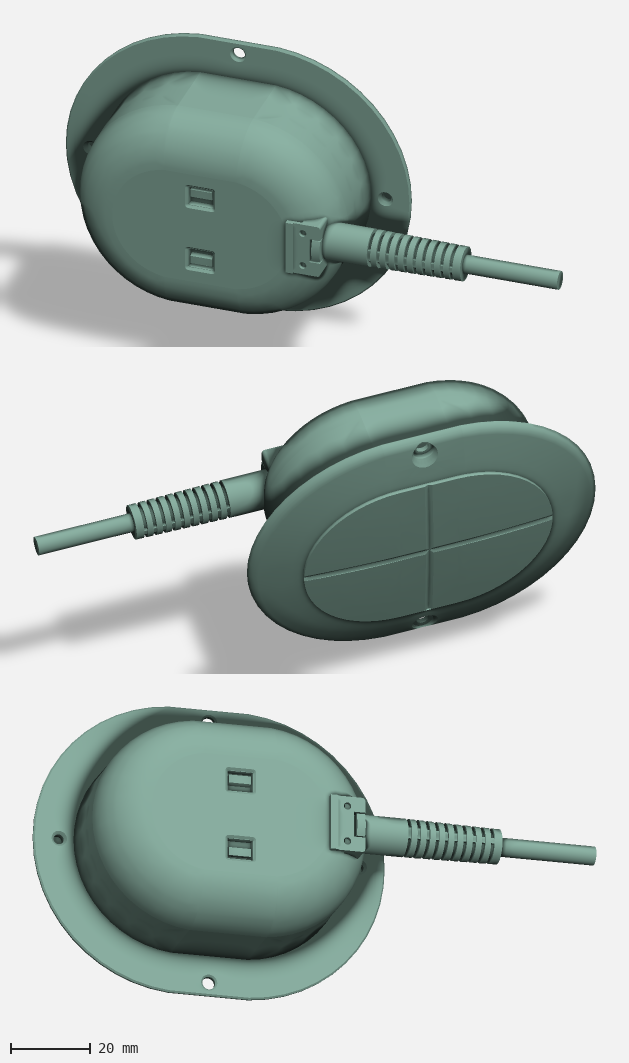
import cadquery as cq
import math


BODY_HALF_LENGTH = 35.25
BODY_HALF_WIDTH = 27.5
STRAIGHT_HALF = 10.0
SAGITTA = BODY_HALF_LENGTH - STRAIGHT_HALF
END_RADIUS = (BODY_HALF_WIDTH ** 2 + SAGITTA ** 2) / (2 * SAGITTA)
END_CENTER = BODY_HALF_LENGTH - END_RADIUS

BODY_DEPTH = 29.25
BODY_FILLET = 12.0
WALL_DRAFT = 0.05

FLANGE_OVERHANG = 10.5
FLANGE_EDGE_CHAMFER = 0.4
SHOULDER_INSET = 2.0
SHOULDER_Y = 2.95
FLANGE_CROWN = 0.15

CAP_INSET = 2.6
CAP_BASE_Y = 5.7
CAP_RIM_Y = 6.65
CAP_TOP_Y = 7.65
CAP_GROOVE_WIDTH = 2.0
CAP_GROOVE_DEPTH = 0.4

SIDE_HOLE_Z = 34.55
END_HOLE_X = 39.0
SIDE_HOLE_DIAMETER = 3.3
SIDE_HOLE_MOUTH = 4.2
END_HOLE_DIAMETER = 2.6
END_HOLE_MOUTH = 4.0
END_HOLE_DEPTH = 2.5
HEAD_RECESS_DIAMETER = 5.6
HEAD_RECESS_FLOOR_Y = 1.6
COUNTERSINK_START_Y = 2.9

WINDOW_Z = 9.0
WINDOW_LENGTH = 8.0
WINDOW_WIDTH = 6.7
WINDOW_CORNER = 0.9
WINDOW_RIM = 0.6
WINDOW_RIM_ANGLE = 45
WINDOW_DEPTH = 2.0
WINDOW_DRAFT_ANGLE = 10
TAB_DROP = 0.8
TAB_LENGTH = 5.7
TAB_OUTER_Z = 1.7
TAB_INNER_Z = -0.4
TAB_SLOPE = 0.45

CABLE_Y = -23.65
CABLE_DIAMETER = 4.8
CABLE_END_X = 93.4
SLEEVE_START_X = 31.0
COLLAR_END_X = 43.85
SLEEVE_END_X = 68.4
COLLAR_DIAMETER = 9.7
SLEEVE_TIP_DIAMETER = 8.9
GROOVE_COUNT = 10
GROOVE_PITCH = 2.4
GROOVE_WIDTH = 0.9
GROOVE_CORE_DIAMETER = 6.7
RIB_HALF_HEIGHT = 4.1
RIB_WIDTH_START = 2.9
RIB_WIDTH_END = 1.2

BLOCK_START_X = 23.1
BLOCK_STEP_X = 27.1
BLOCK_END_X = 32.1
BLOCK_HALF_WIDTH = 7.2
BLOCK_FACE_Y = -30.2
BLOCK_LIP_Y = -30.7
BLOCK_LIP_LENGTH = 1.9
BLOCK_ROOT_Y = -22.0
BLOCK_CORNER = 0.8
NOTCH_START_X = 29.2
NOTCH_HALF_WIDTH = 3.3
NOTCH_FLOOR_Y = -28.0
SADDLE_START_X = 29.9
SADDLE_HALF_WIDTH = 2.95
SCREW_X = 27.5
SCREW_Z = 4.65
SCREW_DIAMETER = 1.9
SCREW_DEPTH = 1.0


def box(x_range, y_range, z_range):
    """Axis-aligned box between the given limits."""
    (x0, x1), (y0, y1), (z0, z1) = x_range, y_range, z_range
    return cq.Workplane("XY").box(x1 - x0, y1 - y0, z1 - z0, centered=False).translate((x0, y0, z0))


def body_profile(reach):
    """Half section of housing plus flange; reach is axis-to-wall distance."""
    rim = reach + FLANGE_OVERHANG
    shoulder = rim - SHOULDER_INSET
    shoulder_rise = SHOULDER_Y - FLANGE_EDGE_CHAMFER
    shoulder_radius = (SHOULDER_INSET ** 2 + shoulder_rise ** 2) / (2 * SHOULDER_INSET)
    shoulder_center = rim - shoulder_radius
    shoulder_angle = math.asin(shoulder_rise / shoulder_radius)
    cap_edge = reach - CAP_INSET
    floor_edge = reach - BODY_FILLET
    fillet_center_y = BODY_FILLET - BODY_DEPTH
    diagonal = BODY_FILLET * math.sqrt(0.5)
    return (
        cq.Workplane("XY")
        .moveTo(0, -BODY_DEPTH)
        .lineTo(floor_edge, -BODY_DEPTH)
        .threePointArc(
            (floor_edge + diagonal, fillet_center_y - diagonal),
            (reach, fillet_center_y),
        )
        .lineTo(reach + WALL_DRAFT, 0)
        .lineTo(rim - FLANGE_EDGE_CHAMFER, 0)
        .lineTo(rim, FLANGE_EDGE_CHAMFER)
        .threePointArc(
            (
                shoulder_center + shoulder_radius * math.cos(shoulder_angle / 2),
                FLANGE_EDGE_CHAMFER + shoulder_radius * math.sin(shoulder_angle / 2),
            ),
            (shoulder, SHOULDER_Y),
        )
        .threePointArc(
            ((shoulder + cap_edge) / 2, (SHOULDER_Y + CAP_BASE_Y) / 2 + FLANGE_CROWN),
            (cap_edge, CAP_BASE_Y),
        )
        .lineTo(0, CAP_BASE_Y)
        .close()
    )


def dome_height(radius, reach):
    """Height above Y = 0 of the shallow cap dome at a distance from its axis."""
    return CAP_TOP_Y - (CAP_TOP_Y - CAP_RIM_Y) * (radius / reach) ** 2


def cap_profile(reach):
    """Half section of the domed cap."""
    edge = reach - CAP_INSET
    return (
        cq.Workplane("XY")
        .lineTo(edge, 0)
        .lineTo(edge, CAP_RIM_Y)
        .threePointArc((edge / 2, dome_height(edge / 2, edge)), (0, CAP_TOP_Y))
        .close()
    )


def long_prism(profile, half_length):
    """Half section run along X and mirrored to both Z sides."""
    half = (
        profile.extrude(half_length, both=True)
        .rotate((0, 0, 0), (0, 1, 0), -90)
    )
    return half.union(half.mirror("XY"))


def turned(profile):
    """Half section revolved about the Y axis."""
    return profile.revolve(360, (0, 0, 0), (0, 1, 0))


def oval_solid(middle, end):
    """Stadium solid: a straight middle along X with a round end on each side."""
    right = end.translate((END_CENTER, 0, 0)).intersect(box(
        (END_CENTER, 2 * BODY_HALF_LENGTH),
        (-2 * BODY_DEPTH, 2 * BODY_DEPTH),
        (-2 * BODY_HALF_LENGTH, 2 * BODY_HALF_LENGTH),
    ))
    return middle.union(right).union(right.mirror("YZ"))


def make_housing():
    """Round ends trimmed by the flat sides, which run on past the arc centres."""
    flat_sides = long_prism(body_profile(BODY_HALF_WIDTH), 2 * BODY_HALF_LENGTH)
    middle = long_prism(body_profile(BODY_HALF_WIDTH), END_CENTER)
    return oval_solid(middle, turned(body_profile(END_RADIUS)).intersect(flat_sides))


def cap_groove(half_length):
    """V groove along X that follows the dome."""
    half_width = CAP_GROOVE_WIDTH / 2
    section = (
        cq.Workplane("YZ", origin=(-half_length, 0, 0))
        .moveTo(CAP_RIM_Y - CAP_GROOVE_DEPTH, 0)
        .lineTo(CAP_RIM_Y, half_width)
        .lineTo(CAP_RIM_Y + CAP_GROOVE_DEPTH, half_width)
        .lineTo(CAP_RIM_Y + CAP_GROOVE_DEPTH, -half_width)
        .lineTo(CAP_RIM_Y, -half_width)
        .close()
    )
    path = (
        cq.Workplane("XY")
        .moveTo(-half_length, CAP_RIM_Y)
        .threePointArc((0, CAP_TOP_Y), (half_length, CAP_RIM_Y))
    )
    return section.sweep(path)


def make_cap():
    half_width = END_RADIUS - CAP_INSET
    along_x = cap_groove(half_width + END_CENTER)
    along_z = cap_groove(half_width).rotate((0, 0, 0), (0, 1, 0), 90)
    middle = long_prism(cap_profile(END_RADIUS), END_CENTER)
    cap = oval_solid(middle, turned(cap_profile(END_RADIUS)))
    return cap.cut(along_x).cut(along_z)


def side_hole():
    """Through hole with a chamfered mouth below and a flared screw-head recess above."""
    radius = SIDE_HOLE_DIAMETER / 2
    mouth = SIDE_HOLE_MOUTH / 2
    recess = HEAD_RECESS_DIAMETER / 2
    top_y = CAP_BASE_Y
    section = cq.Workplane("XY").polyline([
        (0, 0),
        (mouth, 0),
        (radius, mouth - radius),
        (radius, HEAD_RECESS_FLOOR_Y),
        (recess, HEAD_RECESS_FLOOR_Y),
        (recess, COUNTERSINK_START_Y),
        (recess + top_y - COUNTERSINK_START_Y, top_y),
        (0, top_y),
    ]).close()
    return turned(section)


def end_hole():
    """Blind hole with a chamfered mouth."""
    radius = END_HOLE_DIAMETER / 2
    mouth = END_HOLE_MOUTH / 2
    section = cq.Workplane("XY").polyline([
        (0, 0),
        (mouth, 0),
        (radius, mouth - radius),
        (radius, END_HOLE_DEPTH),
        (0, END_HOLE_DEPTH),
    ]).close()
    return turned(section)


def latch_window():
    """Pocket at +Z with a sloped rim and a latch tab standing on its floor."""
    inner_length = WINDOW_LENGTH - 2 * WINDOW_RIM
    inner_width = WINDOW_WIDTH - 2 * WINDOW_RIM
    floor_y = WINDOW_DEPTH - BODY_DEPTH
    tab_y = TAB_DROP - BODY_DEPTH
    mouth = cq.Sketch().rect(WINDOW_LENGTH, WINDOW_WIDTH).vertices().fillet(WINDOW_CORNER)
    rim = (
        cq.Workplane("XZ", origin=(0, -BODY_DEPTH, 0))
        .placeSketch(mouth)
        .extrude(-WINDOW_RIM, taper=WINDOW_RIM_ANGLE)
    )
    pocket = (
        cq.Workplane("XZ", origin=(0, -BODY_DEPTH, 0))
        .rect(inner_length, inner_width)
        .extrude(-WINDOW_DEPTH, taper=WINDOW_DRAFT_ANGLE)
    )
    tab = (
        cq.Workplane("YZ", origin=(-TAB_LENGTH / 2, 0, 0))
        .polyline([
            (floor_y, TAB_OUTER_Z),
            (tab_y, TAB_OUTER_Z),
            (tab_y, TAB_INNER_Z),
            (floor_y, TAB_INNER_Z - TAB_SLOPE),
        ])
        .close()
        .extrude(TAB_LENGTH)
    )
    return rim.union(pocket).cut(tab).translate((0, 0, WINDOW_Z))


def cable_cylinder(diameter, x0, x1):
    """Cylinder on the cable axis between two X positions."""
    plane = cq.Plane(origin=(x0, CABLE_Y, 0), xDir=(0, 0, 1), normal=(1, 0, 0))
    return cq.Workplane(plane).circle(diameter / 2).extrude(x1 - x0)


def groove_ring(x_center):
    """Material removed by one strain-relief groove; two ribs are left standing."""
    start_x = x_center - GROOVE_WIDTH / 2
    end_x = x_center + GROOVE_WIDTH / 2
    travel = (x_center - COLLAR_END_X) / (SLEEVE_END_X - COLLAR_END_X)
    rib_half = (RIB_WIDTH_START + travel * (RIB_WIDTH_END - RIB_WIDTH_START)) / 2
    rib = box(
        (start_x, end_x),
        (CABLE_Y - RIB_HALF_HEIGHT, CABLE_Y + RIB_HALF_HEIGHT),
        (-rib_half, rib_half),
    )
    return (
        cable_cylinder(2 * COLLAR_DIAMETER, start_x, end_x)
        .cut(cable_cylinder(GROOVE_CORE_DIAMETER, start_x, end_x))
        .cut(rib)
    )


def make_cable():
    collar = COLLAR_DIAMETER / 2
    tip = SLEEVE_TIP_DIAMETER / 2
    sleeve = (
        cq.Workplane("XZ")
        .polyline([
            (SLEEVE_START_X, 0),
            (SLEEVE_START_X, collar),
            (COLLAR_END_X, collar),
            (SLEEVE_END_X, tip),
            (SLEEVE_END_X, 0),
        ])
        .close()
        .revolve(360, (0, 0, 0), (1, 0, 0))
        .translate((0, CABLE_Y, 0))
    )
    for index in range(GROOVE_COUNT):
        sleeve = sleeve.cut(groove_ring(COLLAR_END_X + GROOVE_WIDTH / 2 + index * GROOVE_PITCH))
    return sleeve.union(cable_cylinder(CABLE_DIAMETER, SLEEVE_START_X, CABLE_END_X))


def make_clamp_block():
    width = (-BLOCK_HALF_WIDTH, BLOCK_HALF_WIDTH)
    block = (
        box((BLOCK_STEP_X, BLOCK_END_X), (BLOCK_FACE_Y, BLOCK_ROOT_Y), width)
        .union(box((BLOCK_START_X, BLOCK_END_X), (BLOCK_FACE_Y, -BODY_DEPTH), width))
        .edges("|Y and >X").fillet(BLOCK_CORNER)
    )
    lip_end = BLOCK_START_X + BLOCK_LIP_LENGTH
    block = block.union(
        box((BLOCK_START_X, lip_end), (BLOCK_LIP_Y, -BODY_DEPTH), width)
    )
    notch = box(
        (NOTCH_START_X, BLOCK_END_X),
        (BLOCK_FACE_Y, NOTCH_FLOOR_Y),
        (-NOTCH_HALF_WIDTH, NOTCH_HALF_WIDTH),
    )
    saddle = cable_cylinder(2 * (CABLE_Y - BLOCK_LIP_Y), SADDLE_START_X, BLOCK_END_X).intersect(
        box(
            (SADDLE_START_X, BLOCK_END_X),
            (BLOCK_LIP_Y, BLOCK_ROOT_Y),
            (-SADDLE_HALF_WIDTH, SADDLE_HALF_WIDTH),
        )
    )
    screw_holes = (
        cq.Workplane("XZ", origin=(SCREW_X, BLOCK_FACE_Y, 0))
        .pushPoints([(0, SCREW_Z), (0, -SCREW_Z)])
        .circle(SCREW_DIAMETER / 2)
        .extrude(-SCREW_DEPTH)
    )
    return block.cut(notch).cut(screw_holes).union(saddle)


def make_part():
    part = make_housing().union(make_cap())
    for side in (1, -1):
        part = part.cut(side_hole().translate((0, 0, side * SIDE_HOLE_Z)))
        part = part.cut(end_hole().translate((side * END_HOLE_X, 0, 0)))
    window = latch_window()
    part = part.cut(window).cut(window.mirror("XY"))
    return part.union(make_clamp_block()).union(make_cable())


result = make_part()